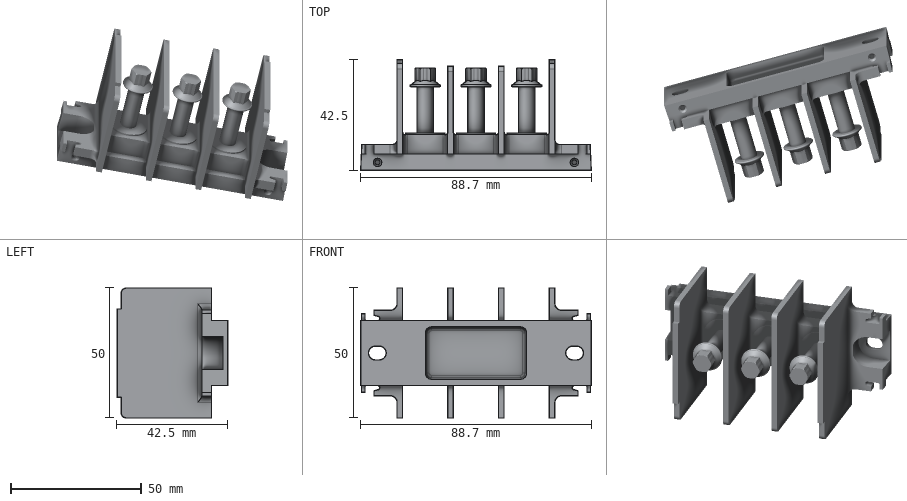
import cadquery as cq
import math


BASE_LENGTH = 88.7
BASE_HEIGHT = 25.0
BASE_DEPTH = 6.2
END_DRAFT_ANGLE = 2.5

PLATE_PITCH = 19.5
PLATE_COUNT = 4
PLATE_THICKNESS = 2.2
PLATE_HEIGHT = 50.0
OUTER_PLATE_TOP = 41.0
INNER_PLATE_TOP = 40.0
PLATE_CORNER_RADIUS = 2.1
TONGUE_TOP = 42.5
TONGUE_HEIGHT = 34.0

END_TOP = 10.0
ARM_HEIGHT = 32.9
ARM_END_X = 39.2
ARM_SIDE_FILLET = 2.6
ARM_TOP_FILLET = 1.6
TAB_HEIGHT = 30.2
TAB_INNER_X = 42.6
TAB_ROOT_FILLET = 0.4
NOTCH_CENTER_X = 37.8
NOTCH_RADIUS = 0.8
NOTCH_MOUTH_RISE = 0.4

HOLE_X = 37.9
HOLE_LENGTH = 6.7
HOLE_HEIGHT = 5.2
RECESS_RADIUS = 6.3
RECESS_FLOOR = 1.9

SIDE_HOLE_X = 37.8
SIDE_HOLE_Y = 3.05
SIDE_HOLE_MOUTH_RADIUS = 1.6
SIDE_HOLE_RADIUS = 0.95
SIDE_HOLE_CONE_DEPTH = 0.7
SIDE_HOLE_DEPTH = 2.0

POCKET_LENGTH = 38.9
POCKET_HEIGHT = 20.2
POCKET_DEPTH = 4.0
POCKET_CORNER_RADIUS = 2.4
POCKET_TAPER = 9.0
POCKET_FLOOR_FILLET = 1.0

BLOCK_TOP = 13.75
BLOCK_HEIGHT = 19.0
BLOCK_SIDE_FILLET = 1.9
BLOCK_TOP_FILLET = 0.9

WASHER_RADIUS = 7.55
WASHER_TOP = 14.4
STUD_RADIUS = 3.2
FLANGE_BOTTOM = 32.1
FLANGE_RADIUS = 5.85
FLANGE_EDGE_RADIUS = 0.4
SHOULDER_TOP = 34.5
HEAD_TOP = 39.4
HEAD_CORNER_RADIUS = 3.95
HEAD_CORE_RADIUS = 3.5
HEAD_CHAMFER_WIDTH = 0.3
HEAD_CHAMFER_HEIGHT = 0.5

OUTER_PLATE_X = PLATE_PITCH * (PLATE_COUNT - 1) / 2
PLATE_OUTER_FACE_X = OUTER_PLATE_X + PLATE_THICKNESS / 2
CHANNEL_WIDTH = PLATE_PITCH - PLATE_THICKNESS


def box(x_min, x_max, y_min, y_max, height):
    """Box between the given X and Y limits, centred on Z = 0."""
    size = (x_max - x_min, y_max - y_min, height)
    return cq.Workplane("XY").box(*size, centered=(False, False, True)).translate((x_min, y_min, 0))


def plane_at(y):
    """XZ workplane at the given Y; a negative extrusion goes toward +Y."""
    return cq.Workplane("XZ", origin=(0, y, 0))


def with_mirror_x(shape):
    return shape.union(shape.mirror("YZ"))


def end_face_x(y):
    """X of the right end face, which leans inward with depth."""
    return BASE_LENGTH / 2 - y * math.tan(math.radians(END_DRAFT_ANGLE))


def base_bar():
    half_front = end_face_x(0)
    half_back = end_face_x(BASE_DEPTH)
    corners = [(-half_front, 0), (half_front, 0), (half_back, BASE_DEPTH), (-half_back, BASE_DEPTH)]
    return cq.Workplane("XY").polyline(corners).close().extrude(BASE_HEIGHT / 2, both=True)


def plate(x, top):
    left = x - PLATE_THICKNESS / 2
    body = box(left, left + PLATE_THICKNESS, BASE_DEPTH, top, PLATE_HEIGHT)
    return body.faces(">Y").edges("|X").fillet(PLATE_CORNER_RADIUS)


def divider_plates():
    plates = cq.Workplane("XY")
    for index in range(PLATE_COUNT):
        x = index * PLATE_PITCH - OUTER_PLATE_X
        is_outer = index in (0, PLATE_COUNT - 1)
        plates = plates.add(plate(x, OUTER_PLATE_TOP if is_outer else INNER_PLATE_TOP))
    tongue = box(
        OUTER_PLATE_X - PLATE_THICKNESS / 2, PLATE_OUTER_FACE_X, BASE_DEPTH, TONGUE_TOP, TONGUE_HEIGHT
    )
    return plates.combine().union(with_mirror_x(tongue))


def arm_side_profile():
    """Upper half of the right end section seen along Y: arm, hooked notch, slot and end tab."""
    arm_z = ARM_HEIGHT / 2
    slot_z = BASE_HEIGHT / 2
    tab_z = TAB_HEIGHT / 2
    end_x = BASE_LENGTH / 2
    notch_top_z = slot_z + 2 * NOTCH_RADIUS
    notch_middle = (NOTCH_CENTER_X - NOTCH_RADIUS, slot_z + NOTCH_RADIUS)
    fillet_center = (PLATE_OUTER_FACE_X + ARM_SIDE_FILLET, arm_z + ARM_SIDE_FILLET)
    fillet_reach = ARM_SIDE_FILLET * math.sqrt(0.5)
    fillet_middle = (fillet_center[0] - fillet_reach, fillet_center[1] - fillet_reach)
    root_reach = TAB_ROOT_FILLET * (1 - math.sqrt(0.5))
    root_middle = (TAB_INNER_X - root_reach, slot_z + root_reach)
    return (
        plane_at(BASE_DEPTH)
        .moveTo(OUTER_PLATE_X, 0)
        .lineTo(OUTER_PLATE_X, fillet_center[1])
        .lineTo(PLATE_OUTER_FACE_X, fillet_center[1])
        .threePointArc(fillet_middle, (fillet_center[0], arm_z))
        .lineTo(ARM_END_X, arm_z)
        .lineTo(ARM_END_X, notch_top_z + NOTCH_MOUTH_RISE)
        .lineTo(NOTCH_CENTER_X, notch_top_z)
        .threePointArc(notch_middle, (NOTCH_CENTER_X, slot_z))
        .lineTo(TAB_INNER_X - TAB_ROOT_FILLET, slot_z)
        .threePointArc(root_middle, (TAB_INNER_X, slot_z + TAB_ROOT_FILLET))
        .lineTo(TAB_INNER_X, tab_z)
        .lineTo(end_x, tab_z)
        .lineTo(end_x, 0)
        .close()
    )


def arm_top_profile():
    """Right end section seen along Z, with the fillet that runs up the outer plate."""
    fillet_top = END_TOP + ARM_TOP_FILLET
    fillet_end_x = PLATE_OUTER_FACE_X + ARM_TOP_FILLET
    fillet_reach = ARM_TOP_FILLET * math.sqrt(0.5)
    return (
        cq.Workplane("XY")
        .moveTo(OUTER_PLATE_X, BASE_DEPTH)
        .lineTo(OUTER_PLATE_X, fillet_top)
        .lineTo(PLATE_OUTER_FACE_X, fillet_top)
        .threePointArc((fillet_end_x - fillet_reach, fillet_top - fillet_reach), (fillet_end_x, END_TOP))
        .lineTo(end_face_x(END_TOP), END_TOP)
        .lineTo(end_face_x(BASE_DEPTH), BASE_DEPTH)
        .close()
    )


def end_sections():
    """Both end sections; the two crossing outlines give mitred fillets against the plates."""
    upper = arm_side_profile().extrude(-(END_TOP + ARM_TOP_FILLET - BASE_DEPTH))
    full_height = upper.union(upper.mirror("XY"))
    return with_mirror_x(full_height.intersect(arm_top_profile().extrude(PLATE_HEIGHT / 2, both=True)))


def mounting_holes():
    """Oblong holes, each opening into a U-shaped recess that runs out of the end."""
    hole = plane_at(0).center(HOLE_X, 0).slot2D(HOLE_LENGTH, HOLE_HEIGHT).extrude(-END_TOP)
    recess_depth = END_TOP - RECESS_FLOOR
    round_end = plane_at(RECESS_FLOOR).center(HOLE_X, 0).circle(RECESS_RADIUS).extrude(-recess_depth)
    mouth = box(HOLE_X, BASE_LENGTH / 2, RECESS_FLOOR, END_TOP, 2 * RECESS_RADIUS)
    return with_mirror_x(hole.union(round_end).union(mouth))


def side_holes():
    surface_z = BASE_HEIGHT / 2
    bottom_z = surface_z - SIDE_HOLE_DEPTH
    hole = (
        cq.Workplane("XZ")
        .moveTo(0, bottom_z)
        .lineTo(SIDE_HOLE_RADIUS, bottom_z)
        .lineTo(SIDE_HOLE_RADIUS, surface_z - SIDE_HOLE_CONE_DEPTH)
        .lineTo(SIDE_HOLE_MOUTH_RADIUS, surface_z)
        .lineTo(0, surface_z)
        .close()
        .revolve(360, (0, 0), (0, 1))
        .translate((SIDE_HOLE_X, SIDE_HOLE_Y, 0))
    )
    return with_mirror_x(hole.union(hole.mirror("XY")))


def face_pocket():
    outline = cq.Sketch().rect(POCKET_LENGTH, POCKET_HEIGHT).vertices().fillet(POCKET_CORNER_RADIUS)
    pocket = plane_at(0).placeSketch(outline).extrude(-POCKET_DEPTH, taper=POCKET_TAPER)
    return pocket.faces(">Y").edges().fillet(POCKET_FLOOR_FILLET)


def raised_channel_profile(workplane, level, fillet):
    """Outline across one channel, from 0 up to a level, filleted upward against both plates."""
    wall_x = CHANNEL_WIDTH / 2
    reach = fillet * (1 - math.sqrt(0.5))
    return (
        workplane.moveTo(-wall_x, 0)
        .lineTo(-wall_x, level + fillet)
        .threePointArc((-wall_x + reach, level + reach), (-wall_x + fillet, level))
        .lineTo(wall_x - fillet, level)
        .threePointArc((wall_x - reach, level + reach), (wall_x, level + fillet))
        .lineTo(wall_x, 0)
        .close()
    )


def terminal_block():
    upper = raised_channel_profile(plane_at(0), BLOCK_HEIGHT / 2, BLOCK_SIDE_FILLET).extrude(
        -(BLOCK_TOP + BLOCK_TOP_FILLET)
    )
    side = upper.union(upper.mirror("XY"))
    top = raised_channel_profile(cq.Workplane("XY"), BLOCK_TOP, BLOCK_TOP_FILLET)
    return side.intersect(top.extrude(PLATE_HEIGHT / 2, both=True))


def stud_body():
    """Washer, shank and rounded flange with its conical shoulder, turned about the Y axis."""
    edge_x = FLANGE_RADIUS - FLANGE_EDGE_RADIUS
    flange_top = FLANGE_BOTTOM + 2 * FLANGE_EDGE_RADIUS
    return (
        cq.Workplane("XY")
        .moveTo(0, BASE_DEPTH)
        .lineTo(WASHER_RADIUS, BASE_DEPTH)
        .lineTo(WASHER_RADIUS, WASHER_TOP)
        .lineTo(STUD_RADIUS, WASHER_TOP)
        .lineTo(STUD_RADIUS, FLANGE_BOTTOM)
        .lineTo(edge_x, FLANGE_BOTTOM)
        .threePointArc((FLANGE_RADIUS, FLANGE_BOTTOM + FLANGE_EDGE_RADIUS), (edge_x, flange_top))
        .lineTo(HEAD_CORE_RADIUS, SHOULDER_TOP)
        .lineTo(0, SHOULDER_TOP)
        .close()
        .revolve(360, (0, 0), (0, 1))
    )


def stud_head():
    """Hexagon with a round core that bulges through its flats and chamfered top corners."""
    length = HEAD_TOP - FLANGE_BOTTOM - FLANGE_EDGE_RADIUS
    start = plane_at(HEAD_TOP - length)
    hexagon = start.polygon(6, 2 * HEAD_CORNER_RADIUS).extrude(-length)
    core = start.circle(HEAD_CORE_RADIUS).extrude(-length)
    envelope = (
        start.circle(HEAD_CORNER_RADIUS)
        .extrude(-length)
        .faces(">Y")
        .chamfer(HEAD_CHAMFER_HEIGHT, HEAD_CHAMFER_WIDTH)
    )
    return hexagon.union(core).intersect(envelope)


def terminals():
    terminal = terminal_block().union(stud_body()).union(stud_head())
    group = terminal
    for side in (-1, 1):
        group = group.union(terminal.translate((side * PLATE_PITCH, 0, 0)))
    return group


result = (
    base_bar()
    .union(divider_plates())
    .union(end_sections())
    .union(terminals())
    .cut(mounting_holes())
    .cut(side_holes())
    .cut(face_pocket())
)